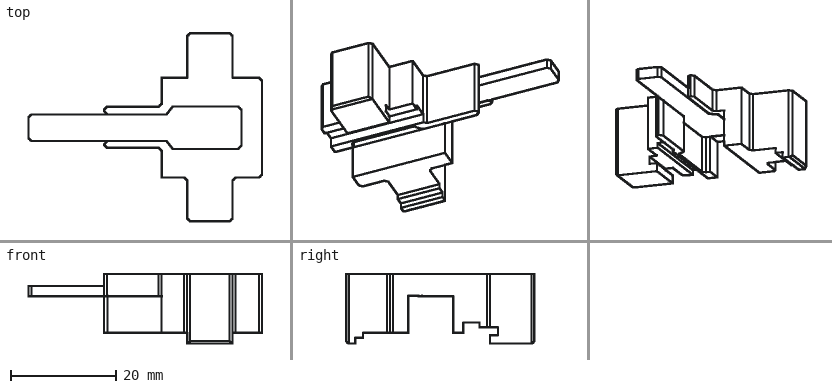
import cadquery as cq

length = 44.4
span = 35.8
height = 13.25
corner = 0.58

rail_start = 14.35
block_start = 25.3
block_back = 9.4
block_front = -9.55
arm_start = 30.15
arm_end = 38.8
rail_outer = 3.9
rail_tip_bevel = 0.65

lever_center = -0.1
stem_half = 2.55
stem_back = lever_center + stem_half
stem_front = lever_center - stem_half
head_half = 4.0
neck_start = 26.25
neck_end = 27.4
head_end = 40.45
lever_top = 10.95
lever_bottom = 8.95

foot_bevel = 0.45
block_bottom = 2.05
channel_ceiling = 9.05
channel_front = -6.05
front_step = -14.65
front_step_height = 1.05
front_foot = -16.1
groove_front = 4.4
groove_back = 7.4
groove_ceiling = 4.0
ledge_height = 3.05
undercut_back = 10.9
undercut_floor = 1.6
back_foot = block_back


def lever_outline():
    """Lever plan: a narrow stem widening to a head, with chamfered ends."""
    half = [
        (0, stem_half - corner),
        (corner, stem_half),
        (neck_start, stem_half),
        (neck_end, head_half),
        (head_end - corner, head_half),
        (head_end, head_half - corner),
    ]
    back = [(x, lever_center + y) for x, y in half]
    front = [(x, lever_center - y) for x, y in reversed(half)]
    return cq.Workplane("XY").polyline(back + front).close()


def make_lever():
    return lever_outline().extrude(lever_top - lever_bottom).translate((0, 0, lever_bottom))


def housing_plan():
    """Full-height prism of the block, its two arms and its guide rails."""
    half_span = span / 2
    tip_bevel_end = rail_start + rail_tip_bevel
    outline = [
        (tip_bevel_end, stem_back),
        (rail_start, stem_back + rail_tip_bevel),
        (rail_start, rail_outer - corner),
        (rail_start + corner, rail_outer),
        (block_start - corner, rail_outer),
        (block_start, rail_outer + corner),
        (block_start, block_back),
        (arm_start, block_back),
        (arm_start, half_span - corner),
        (arm_start + corner, half_span),
        (arm_end - corner, half_span),
        (arm_end, half_span - corner),
        (arm_end, block_back),
        (length - corner, block_back),
        (length, block_back - corner),
        (length, block_front + corner),
        (length - corner, block_front),
        (arm_end + corner, block_front),
        (arm_end, block_front - corner),
        (arm_end, corner - half_span),
        (arm_end - corner, -half_span),
        (arm_start + corner, -half_span),
        (arm_start, corner - half_span),
        (arm_start, block_front - corner),
        (arm_start - corner, block_front),
        (block_start, block_front),
        (block_start, -rail_outer - corner),
        (block_start - corner, -rail_outer),
        (rail_start + corner, -rail_outer),
        (rail_start, corner - rail_outer),
        (rail_start, stem_front - rail_tip_bevel),
        (tip_bevel_end, stem_front),
    ]
    return cq.Workplane("XY").polyline(outline).close().extrude(height)


def housing_section():
    """Cross-section in Y and Z, with the underside steps, run along X."""
    half_span = span / 2
    outline = [
        (half_span, height),
        (half_span, foot_bevel),
        (half_span - foot_bevel, 0),
        (back_foot, 0),
        (back_foot, undercut_floor),
        (undercut_back, undercut_floor),
        (undercut_back, ledge_height),
        (groove_back, ledge_height),
        (groove_back, groove_ceiling),
        (groove_front, groove_ceiling),
        (groove_front, block_bottom),
        (stem_back, block_bottom),
        (stem_back, channel_ceiling),
        (channel_front, channel_ceiling),
        (channel_front, block_bottom),
        (front_step, block_bottom),
        (front_step, front_step_height),
        (front_foot, front_step_height),
        (front_foot, 0),
        (foot_bevel - half_span, 0),
        (-half_span, foot_bevel),
        (-half_span, height),
    ]
    return cq.Workplane("YZ").polyline(outline).close().extrude(length)


def make_housing():
    pocket = lever_outline().extrude(height)
    return housing_plan().intersect(housing_section()).cut(pocket).solids()


housing = make_housing()
lever = make_lever()

result = cq.Compound.makeCompound([housing.val(), lever.val()])